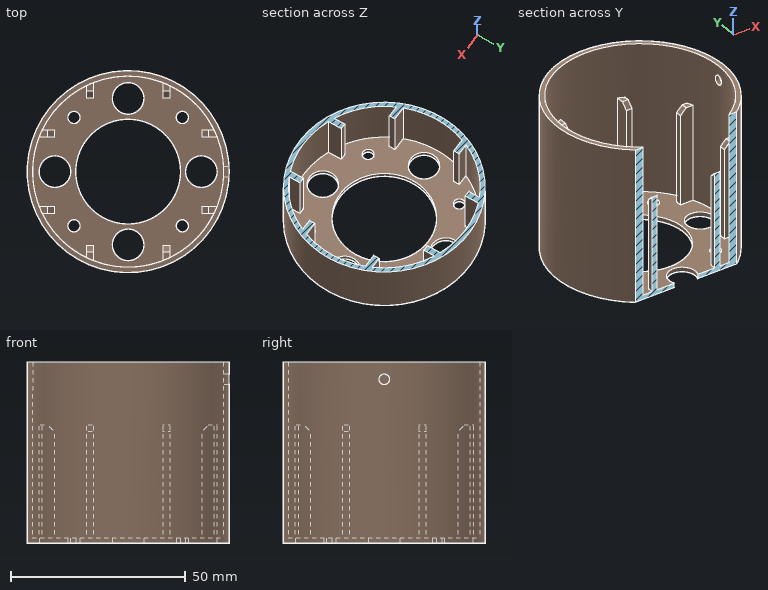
import cadquery as cq

outer_diameter = 58.0
inner_diameter = 54.8
height = 52.0
wall = (outer_diameter - inner_diameter) / 2
floor_thickness = wall

center_hole_diameter = 30.0
large_hole_diameter = 9.0
large_hole_radius = 21.0
small_hole_diameter = 3.4
small_hole_radius = 22.0

rib_width = 2.0
rib_offset = 10.95
rib_inner_end = 21.1
rib_top = 34.0
rib_chamfer = 2.0

side_hole_diameter = 3.0
side_hole_depth_below_rim = 5.0

quarter_turns = (0, 90, 180, 270)


def make_cup():
    body = cq.Workplane("XY").circle(outer_diameter / 2).extrude(height)
    cavity = (
        cq.Workplane("XY", origin=(0, 0, floor_thickness))
        .circle(inner_diameter / 2)
        .extrude(height)
    )
    return body.cut(cavity)


def make_rib(offset):
    """Rib on the +X side, running into the wall, with its free top corner chamfered."""
    rib_outer_end = outer_diameter / 2
    blank = (
        cq.Workplane("XZ", origin=(0, offset + rib_width / 2, 0))
        .moveTo(rib_inner_end, 0)
        .lineTo(rib_outer_end, 0)
        .lineTo(rib_outer_end, rib_top)
        .lineTo(rib_inner_end + rib_chamfer, rib_top)
        .lineTo(rib_inner_end, rib_top - rib_chamfer)
        .close()
        .extrude(rib_width)
    )
    envelope = cq.Workplane("XY").circle((outer_diameter - wall) / 2).extrude(height)
    return blank.intersect(envelope)


def make_floor_holes():
    depth = floor_thickness
    center = cq.Workplane("XY").circle(center_hole_diameter / 2).extrude(depth)
    large = (
        cq.Workplane("XY")
        .polarArray(large_hole_radius, 0, 360, 4)
        .circle(large_hole_diameter / 2)
        .extrude(depth)
    )
    small = (
        cq.Workplane("XY")
        .polarArray(small_hole_radius, 45, 360, 4)
        .circle(small_hole_diameter / 2)
        .extrude(depth)
    )
    return center.union(large).union(small)


def make_side_hole():
    """Cutter through the +X wall only."""
    return (
        cq.Workplane("YZ")
        .center(0, height - side_hole_depth_below_rim)
        .circle(side_hole_diameter / 2)
        .extrude(outer_diameter)
    )


result = make_cup()
for angle in quarter_turns:
    for side in (-1, 1):
        rib = make_rib(side * rib_offset)
        result = result.union(rib.rotate((0, 0, 0), (0, 0, 1), angle))
result = result.cut(make_floor_holes()).cut(make_side_hole())